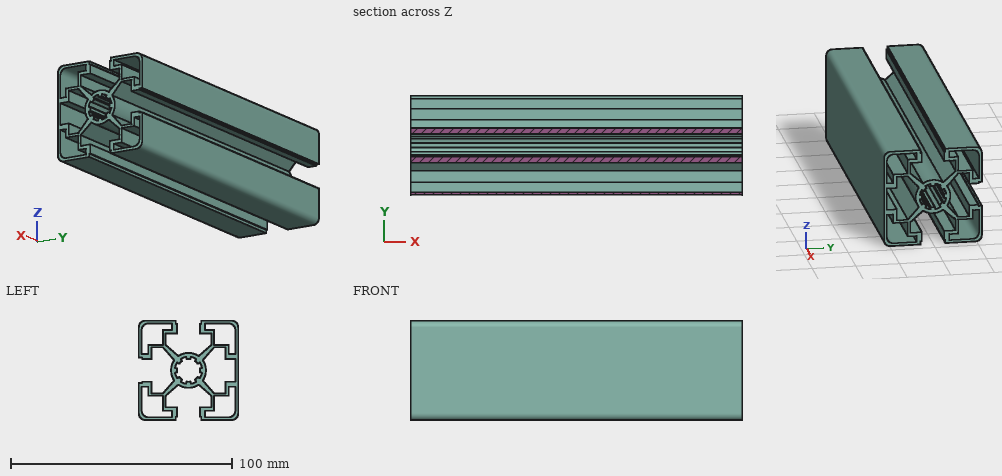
import cadquery as cq
import math


length = 150.0
side = 45.0
half_side = side / 2
outer_radius = 3.0
wall = 1.4
inner_face = half_side - wall

mouth_half_width = 5.1
mouth_step_half_width = 5.7
mouth_step_depth = 1.5
lip_underside = 16.6
slot_half_width = 10.4

lip_side_wall = 2.4
lip_floor = 1.6
chamber_wall = 1.2
chamber_radius = 3.0
inner_web_corner = slot_half_width + chamber_wall

tube_radius = 8.0
groove_radius = 6.2
tooth_tip_radius = 5.1
tooth_tip_width = 1.8
tooth_base_width = 2.2
tooth_count = 8
web_root_width = 2.7


def on_circle(radius, angle):
    """Point on a circle about the axis, at an angle in radians from the second coordinate axis."""
    return radius * math.sin(angle), radius * math.cos(angle)


def section():
    """Start a YZ outline at the -X end."""
    return cq.Workplane("YZ", origin=(-length / 2, 0, 0))


def prism(outline):
    """Extrude a closed YZ outline over the full length."""
    return outline.close().extrude(length)


def turned(shape, angle):
    """Rotate a shape about the profile axis, in degrees."""
    return shape.rotate((0, 0, 0), (1, 0, 0), angle)


def slot_chamber(top):
    """Slot opening towards +Z: mouth up to the given height, undercut, and floor around the tube."""
    root_angle = math.pi / 4 - math.asin(web_root_width / 2 / tube_radius)
    root_y, root_z = on_circle(tube_radius, root_angle)
    return prism(
        section()
        .moveTo(mouth_half_width, top)
        .lineTo(mouth_half_width, lip_underside)
        .lineTo(slot_half_width, lip_underside)
        .lineTo(slot_half_width, inner_web_corner)
        .lineTo(root_y, root_z)
        .threePointArc((0, tube_radius), (-root_y, root_z))
        .lineTo(-slot_half_width, inner_web_corner)
        .lineTo(-slot_half_width, lip_underside)
        .lineTo(-mouth_half_width, lip_underside)
        .lineTo(-mouth_half_width, top)
    )


def open_slot():
    """Slot through the +Z face, with its mouth slightly wider at the surface."""
    mouth_step = (
        section()
        .center(0, half_side - mouth_step_depth / 2)
        .rect(2 * mouth_step_half_width, mouth_step_depth)
        .extrude(length)
    )
    return slot_chamber(half_side).union(mouth_step)


def corner_chamber():
    """Hollow in the +Y +Z corner, symmetric about the diagonal."""
    near = mouth_half_width + lip_side_wall
    shelf = lip_underside + lip_floor
    tangent = inner_face - chamber_radius
    arc_middle = tangent + chamber_radius * math.sqrt(0.5)
    return prism(
        section()
        .moveTo(inner_web_corner, inner_web_corner)
        .lineTo(inner_web_corner, shelf)
        .lineTo(near, shelf)
        .lineTo(near, inner_face)
        .lineTo(tangent, inner_face)
        .threePointArc((arc_middle, arc_middle), (inner_face, tangent))
        .lineTo(inner_face, near)
        .lineTo(shelf, near)
        .lineTo(shelf, inner_web_corner)
    )


def toothed_bore():
    """Grooved bore whose tapered teeth end on a smaller circle."""
    pitch = 2 * math.pi / tooth_count
    tip_angle = math.asin(tooth_tip_width / 2 / tooth_tip_radius)
    base_angle = math.asin(tooth_base_width / 2 / groove_radius)
    outline = section().moveTo(*on_circle(tooth_tip_radius, -tip_angle))
    for tooth in range(tooth_count):
        middle = tooth * pitch
        outline = (
            outline
            .threePointArc(
                on_circle(tooth_tip_radius, middle), on_circle(tooth_tip_radius, middle + tip_angle)
            )
            .lineTo(*on_circle(groove_radius, middle + base_angle))
            .threePointArc(
                on_circle(groove_radius, middle + pitch / 2),
                on_circle(groove_radius, middle + pitch - base_angle),
            )
            .lineTo(*on_circle(tooth_tip_radius, middle + pitch - tip_angle))
        )
    return prism(outline)


result = cq.Workplane("XY").box(length, side, side).edges("|X").fillet(outer_radius)

for angle in (0, 180, 270):
    result = result.cut(turned(open_slot(), angle))
result = result.cut(turned(slot_chamber(inner_face), 90))

for angle in (0, 90, 180, 270):
    result = result.cut(turned(corner_chamber(), angle))

result = result.cut(toothed_bore())